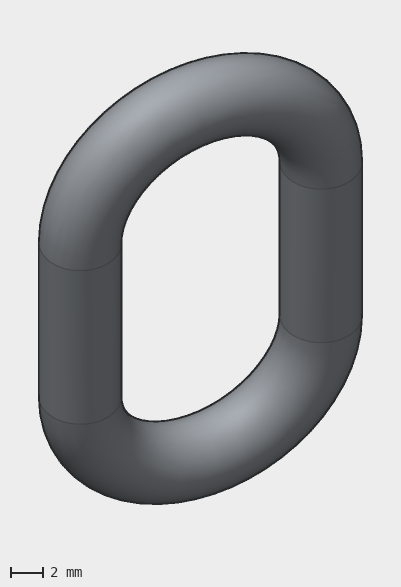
import cadquery as cq

link_height = 34.68
link_width = 21.8
bar_diameter = 5.13

bend_radius = (link_width - bar_diameter) / 2
half_straight = (link_height - link_width) / 2

centreline = (
    cq.Workplane("YZ")
    .moveTo(bend_radius, -half_straight)
    .lineTo(bend_radius, half_straight)
    .threePointArc((0, half_straight + bend_radius), (-bend_radius, half_straight))
    .lineTo(-bend_radius, -half_straight)
    .threePointArc((0, -half_straight - bend_radius), (bend_radius, -half_straight))
    .close()
)

result = (
    cq.Workplane("XY", origin=(0, bend_radius, -half_straight))
    .circle(bar_diameter / 2)
    .sweep(centreline)
)